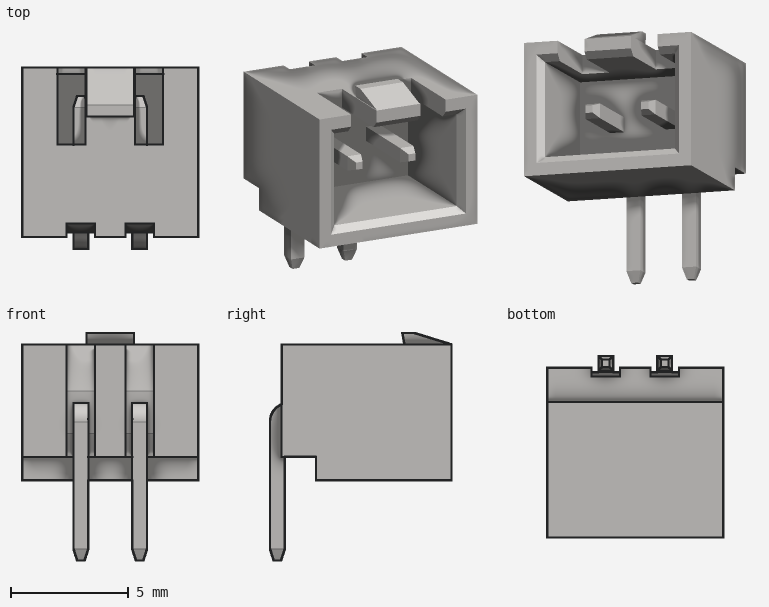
import cadquery as cq
import math


body_width = 7.51
body_depth = 7.24
body_height = 5.79
rear_step_depth = 1.455
rear_step_height = 1.0

wall = 0.83
cavity_lead_in = 0.29
cavity_rear = rear_step_depth + wall
cavity_width = body_width - 2 * wall
cavity_height = body_height - 2 * wall

slot_depth = 3.29
slots_outer_width = 4.5
latch_width = 2.1
slot_width = (slots_outer_width - latch_width) / 2
hook_width = 2.03
hook_height = 0.49
hook_ramp = 1.6
hook_tip_length = 2.105
hook_undercut = 0.09

pitch = 2.5
pin_size = 0.64
pin_point_size = pin_size / 2
pin_point_length = 0.49
pin_rear_overhang = 0.5
pin_tail_below_body = 3.41
pin_end_setback = 1.22
pin_top_drop = 2.48
pin_top = body_height - pin_top_drop
bend_outer_radius = 0.81
bend_inner_radius = bend_outer_radius - pin_size
groove_width = 1.2
groove_top_depth = 0.58
groove_floor_depth = 0.19
groove_bottom_depth = 0.39
groove_upper_slope_height = 1.99
groove_floor_height = 1.8
groove_floor_top = body_height - groove_upper_slope_height
groove_floor_bottom = groove_floor_top - groove_floor_height

pin_positions = [-pitch / 2, pitch / 2]


def side_profile(points, width, x_center=0):
    """Extrude a closed (y, z) outline by width, centred on x_center."""
    plane = cq.Workplane("YZ", origin=(x_center, 0, 0))
    return plane.polyline(points).close().extrude(width / 2, both=True)


def make_shell():
    """Stepped block hollowed from the mating face, with a lead-in around the cavity mouth."""
    block = side_profile(
        [
            (0, rear_step_height),
            (rear_step_depth, rear_step_height),
            (rear_step_depth, 0),
            (body_depth, 0),
            (body_depth, body_height),
            (0, body_height),
        ],
        body_width,
    )
    cavity_depth = body_depth - cavity_rear
    cavity = cq.Workplane("XY").box(cavity_width, cavity_depth, cavity_height, centered=(True, False, False))
    cavity = cavity.translate((0, cavity_rear, wall))
    lead_in = (
        cq.Workplane("XZ", origin=(0, body_depth, body_height / 2))
        .rect(cavity_width + 2 * cavity_lead_in, cavity_height + 2 * cavity_lead_in)
        .workplane(offset=cavity_lead_in)
        .rect(cavity_width, cavity_height)
        .loft()
    )
    return block.cut(cavity).cut(lead_in)


def make_latch_slot(side):
    """Slot through the roof on one side (-1 or 1) of the latch."""
    slot_center = side * (latch_width + slot_width) / 2
    slot = cq.Workplane("XY").box(slot_width, slot_depth, wall, centered=(True, False, False))
    return slot.translate((slot_center, body_depth - slot_depth, body_height - wall))


def make_hook():
    """Ramped catch standing on the free end of the latch."""
    hook_top = body_height + hook_height
    return side_profile(
        [
            (body_depth, body_height),
            (body_depth - hook_ramp, hook_top),
            (body_depth - hook_tip_length, hook_top),
            (body_depth - hook_tip_length + hook_undercut, body_height),
        ],
        hook_width,
    )


def make_groove(x_center):
    """Rear groove that deepens toward the top and toward the step below."""
    return side_profile(
        [
            (0, body_height),
            (groove_top_depth, body_height),
            (groove_floor_depth, groove_floor_top),
            (groove_floor_depth, groove_floor_bottom),
            (groove_bottom_depth, rear_step_height),
            (0, rear_step_height),
        ],
        groove_width,
        x_center,
    )


def make_pin_point(plane):
    """Tapered square point growing along the normal of the given plane."""
    taper = math.degrees(math.atan2((pin_size - pin_point_size) / 2, pin_point_length))
    return cq.Workplane(plane).rect(pin_size, pin_size).extrude(pin_point_length, taper=taper)


def make_pin(x_center):
    """Right-angle square pin: a contact along +Y, a rounded bend and a solder tail along -Z."""
    tail_rear = -pin_rear_overhang
    tail_front = tail_rear + pin_size
    pin_bottom = pin_top - pin_size
    contact_shoulder = body_depth - pin_end_setback - pin_point_length
    tail_shoulder = -pin_tail_below_body + pin_point_length
    bend_y = tail_rear + bend_outer_radius
    bend_z = pin_top - bend_outer_radius
    diagonal = math.sqrt(0.5)

    shank = (
        cq.Workplane("YZ", origin=(x_center, 0, 0))
        .moveTo(tail_rear, tail_shoulder)
        .lineTo(tail_rear, bend_z)
        .threePointArc(
            (bend_y - bend_outer_radius * diagonal, bend_z + bend_outer_radius * diagonal),
            (bend_y, pin_top),
        )
        .lineTo(contact_shoulder, pin_top)
        .lineTo(contact_shoulder, pin_bottom)
        .lineTo(bend_y, pin_bottom)
        .threePointArc(
            (bend_y - bend_inner_radius * diagonal, bend_z + bend_inner_radius * diagonal),
            (tail_front, bend_z),
        )
        .lineTo(tail_front, tail_shoulder)
        .close()
        .extrude(pin_size / 2, both=True)
    )
    contact_end = (x_center, contact_shoulder, pin_top - pin_size / 2)
    tail_end = (x_center, tail_rear + pin_size / 2, tail_shoulder)
    contact_point = make_pin_point(cq.Plane(contact_end, xDir=(1, 0, 0), normal=(0, 1, 0)))
    tail_point = make_pin_point(cq.Plane(tail_end, xDir=(1, 0, 0), normal=(0, 0, -1)))
    return shank.union(contact_point).union(tail_point)


result = make_shell()
for side in (-1, 1):
    result = result.cut(make_latch_slot(side))
result = result.union(make_hook())
for x_center in pin_positions:
    result = result.cut(make_groove(x_center))
    result = result.union(make_pin(x_center))